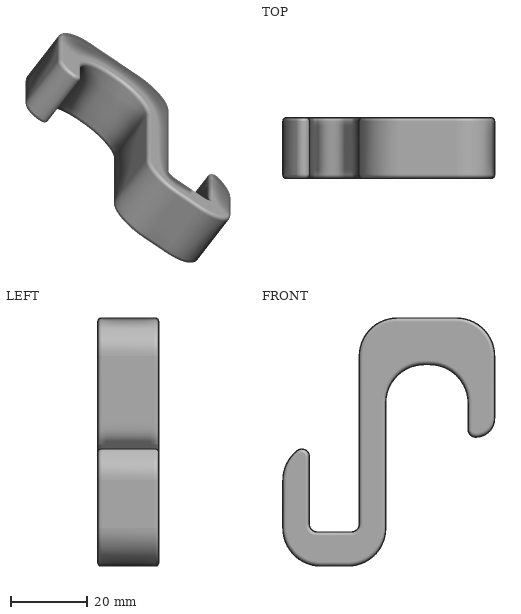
import cadquery as cq
import math

width = 55.5
height = 65.0
depth = 16.0

strap = 7.0
lower_floor = 9.0
upper_roof = 12.25

outer_radius = 10.0
lower_opening_radius = 2.0
tip_radius = 2.0
upper_tip_outer_radius = 5.0
edge_radius = 1.0

spine_left = 20.0
spine_right = spine_left + strap
upper_arm_inner = width - strap
upper_opening_top = height - upper_roof
upper_tip_bottom = 33.75
lower_tip_arc_start = 22.45


def arc_point(center, radius, degrees):
    """Point on a circle, with the angle measured from +X towards +Z."""
    angle = math.radians(degrees)
    return (center[0] + radius * math.cos(angle), center[1] + radius * math.sin(angle))


def arc(profile, center, radius, start, end):
    """Continue the outline along an arc that begins at the current point."""
    middle = arc_point(center, radius, (start + end) / 2)
    return profile.threePointArc(middle, arc_point(center, radius, end))


def corner(profile, center, radius, start, end):
    """Run straight to the start of an arc, then follow it from start to end degrees."""
    profile = profile.lineTo(*arc_point(center, radius, start))
    return arc(profile, center, radius, start, end)


def hook_profile():
    """Closed S outline in the XZ plane, drawn clockwise from the lower arm's back."""
    r = outer_radius

    back_center = (r, lower_tip_arc_start)
    tip_x = strap - tip_radius
    tip_rise = math.sqrt((r - tip_radius) ** 2 - (r - tip_x) ** 2)
    lower_tip_center = (tip_x, lower_tip_arc_start + tip_rise)
    touch_angle = 180 - math.degrees(math.atan2(tip_rise, r - tip_x))

    s = cq.Workplane("XZ").moveTo(0, r).lineTo(0, lower_tip_arc_start)
    s = arc(s, back_center, r, 180, touch_angle)
    s = arc(s, lower_tip_center, tip_radius, touch_angle, 0)
    q = lower_opening_radius
    s = corner(s, (strap + q, lower_floor + q), q, 180, 270)
    s = corner(s, (spine_left - q, lower_floor + q), q, 270, 360)

    s = corner(s, (spine_left + r, height - r), r, 180, 90)
    s = corner(s, (width - r, height - r), r, 90, 0)

    outer_tip = upper_tip_outer_radius
    s = corner(s, (width - outer_tip, upper_tip_bottom + outer_tip), outer_tip, 0, -90)
    s = arc(s, (upper_arm_inner + tip_radius, upper_tip_bottom + tip_radius), tip_radius, 270, 180)

    s = corner(s, (upper_arm_inner - r, upper_opening_top - r), r, 0, 90)
    s = corner(s, (spine_right + r, upper_opening_top - r), r, 90, 180)

    s = corner(s, (spine_right - r, r), r, 0, -90)
    s = corner(s, (r, r), r, 270, 180)
    return s.close()


hook = hook_profile().extrude(depth / 2, both=True)
result = hook.faces("<Y or >Y").edges().fillet(edge_radius)